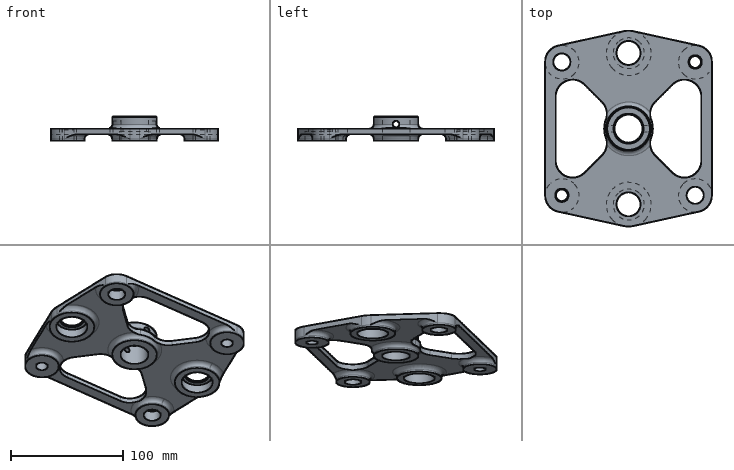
import cadquery as cq
import math

total_width = 149.0
total_length = 174.9
total_height = 22.0

plate_top = 11.0
plate_thickness = 5.0
plate_bottom = plate_top - plate_thickness

corner_radius = 15.0
boss_radius = 20.0
boss_fillet = 4.0
corner_x = total_width / 2 - corner_radius
corner_y = corner_x
end_y = total_length / 2 - boss_radius

bore_diameter = 24.8
edge_chamfer = 1.0
pin_hole_diameter = 5.8
pin_hole_height = 15.0

end_hole_diameter = 21.2
end_counterbore_diameter = 27.6
end_lip_thickness = 2.3
clearance_hole_diameter = 15.0
tapped_hole_diameter = 10.3
tapped_hole_chamfer = 0.9

window_outer_x = 64.9
window_corner_radius = 15.0
hub_wall_radius = 21.9
hub_blend_radius = 15.0


def polar(radius, angle):
    return (radius * math.cos(angle), radius * math.sin(angle))


def offset_point(center, radius, angle):
    dx, dy = polar(radius, angle)
    return (center[0] + dx, center[1] + dy)


def mirrored_y(point):
    return (point[0], -point[1])


def outline_prism():
    """Full-height block whose sides are tangent to the corner and end bosses."""
    run = corner_x
    drop = end_y - corner_y
    slope = math.atan2(drop, run) + math.asin((boss_radius - corner_radius) / math.hypot(run, drop))
    normal = math.pi / 2 - slope

    end = (0, end_y)
    corner = (corner_x, corner_y)
    end_middle = offset_point(end, boss_radius, (normal + math.pi / 2) / 2)
    end_start = offset_point(end, boss_radius, normal)
    corner_start = offset_point(corner, corner_radius, normal)
    corner_middle = offset_point(corner, corner_radius, normal / 2)
    corner_finish = offset_point(corner, corner_radius, 0)

    right_half = (
        cq.Workplane("XY")
        .moveTo(0, total_length / 2)
        .threePointArc(end_middle, end_start)
        .lineTo(*corner_start)
        .threePointArc(corner_middle, corner_finish)
        .lineTo(*mirrored_y(corner_finish))
        .threePointArc(mirrored_y(corner_middle), mirrored_y(corner_start))
        .lineTo(*mirrored_y(end_start))
        .threePointArc(mirrored_y(end_middle), (0, -total_length / 2))
        .close()
        .extrude(total_height)
    )
    return right_half.union(right_half.mirror("YZ"))


def flared_boss(radius, root_z, tip_z):
    """Round boss from the plate face at root_z to tip_z, with a fillet at its root."""
    direction = 1 if tip_z > root_z else -1
    core_z = (plate_top + plate_bottom) / 2
    bulge = boss_fillet * (1 - math.sqrt(0.5))
    return (
        cq.Workplane("XZ")
        .moveTo(0, core_z)
        .lineTo(radius + boss_fillet, core_z)
        .lineTo(radius + boss_fillet, root_z)
        .threePointArc(
            (radius + bulge, root_z + direction * bulge),
            (radius, root_z + direction * boss_fillet),
        )
        .lineTo(radius, tip_z)
        .lineTo(0, tip_z)
        .close()
        .revolve(360, (0, 0, 0), (0, 1, 0))
    )


def window():
    """Cutter for the +X window: straight outer side, 45 degree flanks, hub-following inner side."""
    diagonal = math.pi / 4
    corner_center_x = window_outer_x - window_corner_radius
    corner_center = (corner_center_x, corner_center_x - window_corner_radius * math.sqrt(2))
    corner_start = offset_point(corner_center, window_corner_radius, 0)
    corner_middle = offset_point(corner_center, window_corner_radius, 1.5 * diagonal)
    corner_finish = offset_point(corner_center, window_corner_radius, 3 * diagonal)

    blend_distance = hub_wall_radius + hub_blend_radius
    blend_angle = diagonal - math.asin(hub_blend_radius / blend_distance)
    blend_center = polar(blend_distance, blend_angle)
    blend_start = offset_point(blend_center, hub_blend_radius, 3 * diagonal)
    blend_middle = offset_point(blend_center, hub_blend_radius, (3 * diagonal + math.pi + blend_angle) / 2)
    blend_finish = polar(hub_wall_radius, blend_angle)

    return (
        cq.Workplane("XY")
        .moveTo(*mirrored_y(corner_start))
        .lineTo(*corner_start)
        .threePointArc(corner_middle, corner_finish)
        .lineTo(*blend_start)
        .threePointArc(blend_middle, blend_finish)
        .threePointArc((hub_wall_radius, 0), mirrored_y(blend_finish))
        .threePointArc(mirrored_y(blend_middle), mirrored_y(blend_start))
        .lineTo(*mirrored_y(corner_finish))
        .threePointArc(mirrored_y(corner_middle), mirrored_y(corner_start))
        .close()
        .extrude(total_height)
    )


def bore_from_below(diameter, mouth_z, mouth_chamfer=0):
    """Vertical hole cutter from the foot plane up to mouth_z, optionally countersunk at 45 degrees there."""
    radius = diameter / 2
    profile = cq.Workplane("XZ").lineTo(radius, 0).lineTo(radius, mouth_z - mouth_chamfer)
    if mouth_chamfer:
        profile = profile.lineTo(radius + mouth_chamfer, mouth_z)
    return profile.lineTo(0, mouth_z).close().revolve(360, (0, 0, 0), (0, 1, 0))


corners = [(sx * corner_x, sy * corner_y) for sx in (-1, 1) for sy in (-1, 1)]
ends = [(0, -end_y), (0, end_y)]

margin = 2 * boss_fillet
body = (
    cq.Workplane("XY", origin=(0, 0, plate_bottom))
    .rect(total_width + margin, total_length + margin)
    .extrude(plate_thickness)
)
for x, y in corners:
    body = body.union(flared_boss(corner_radius, plate_bottom, 0).translate((x, y, 0)))
for x, y in ends + [(0, 0)]:
    body = body.union(flared_boss(boss_radius, plate_bottom, 0).translate((x, y, 0)))
hub = flared_boss(boss_radius, plate_top, total_height).faces(">Z").chamfer(edge_chamfer)
body = body.union(hub)

body = body.cut(bore_from_below(bore_diameter, total_height, edge_chamfer))
pin_hole = (
    cq.Workplane("YZ", origin=(0, 0, pin_hole_height))
    .circle(pin_hole_diameter / 2)
    .extrude(total_width / 2, both=True)
)
body = body.cut(pin_hole)

for x, y in ends:
    body = body.cut(bore_from_below(end_hole_diameter, plate_top).translate((x, y, 0)))
    counterbore = bore_from_below(end_counterbore_diameter, plate_top - end_lip_thickness)
    body = body.cut(counterbore.translate((x, y, 0)))
for x, y in corners:
    if x * y < 0:
        hole = bore_from_below(clearance_hole_diameter, plate_top)
    else:
        hole = bore_from_below(tapped_hole_diameter, plate_top, tapped_hole_chamfer)
    body = body.cut(hole.translate((x, y, 0)))

right_window = window()
outline = outline_prism().cut(right_window).cut(right_window.mirror("YZ"))
result = body.intersect(outline)